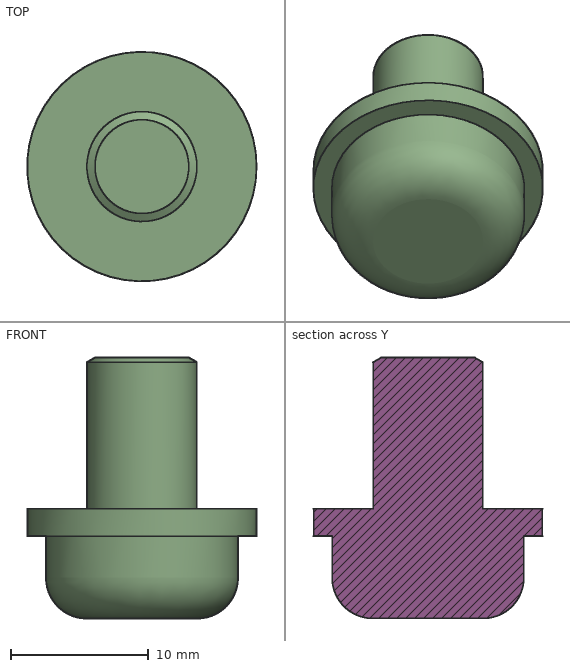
import cadquery as cq
import math

total_height = 19.0
flange_diameter = 16.7
flange_thickness = 2.0
head_diameter = 14.0
head_height = 6.0
head_rounding = 3.0
shank_diameter = 8.0
chamfer_width = 0.59
chamfer_angle = 30.0

shank_length = total_height - head_height - flange_thickness
chamfer_height = chamfer_width * math.tan(math.radians(chamfer_angle))

head = cq.Workplane("XY").circle(head_diameter / 2).extrude(head_height)
head = head.faces("<Z").edges().fillet(head_rounding)

flange = (
    cq.Workplane("XY")
    .workplane(offset=head_height)
    .circle(flange_diameter / 2)
    .extrude(flange_thickness)
)

shank = (
    cq.Workplane("XY")
    .workplane(offset=head_height + flange_thickness)
    .circle(shank_diameter / 2)
    .extrude(shank_length)
)
shank = shank.faces(">Z").edges().chamfer(chamfer_height, chamfer_width)

result = head.union(flange).union(shank)